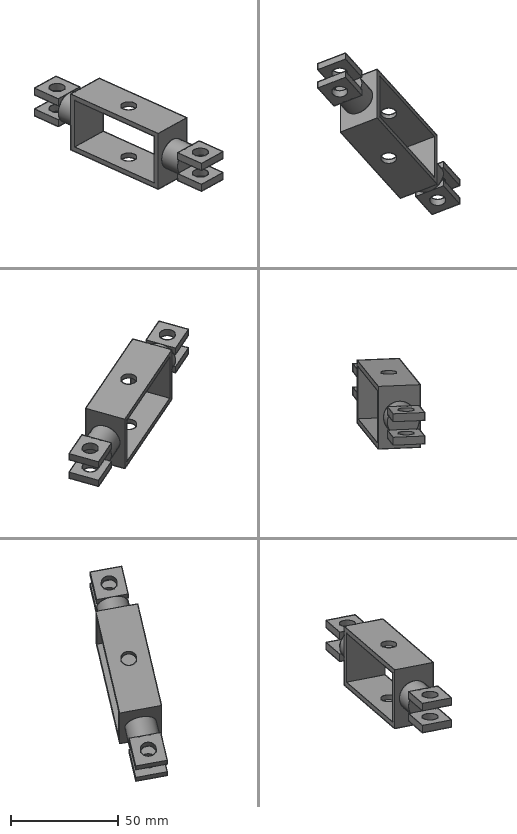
import cadquery as cq

total_length = 105.0

frame_length = 55.0
frame_depth = 20.0
frame_height = 30.0
wall = 2.5

fork_size = 15.0
stem_diameter = fork_size
tine_thickness = 3.8
hole_diameter = 7.5

stem_length = (total_length - frame_length) / 2 - fork_size
fork_center_x = (total_length - fork_size) / 2
tine_center_z = (fork_size - tine_thickness) / 2


def make_frame():
    outer = cq.Workplane("XY").box(frame_length, frame_depth, frame_height)
    window = cq.Workplane("XY").box(
        frame_length - 2 * wall, frame_depth, frame_height - 2 * wall
    )
    return outer.cut(window)


def make_end(side):
    """Stem and two fork tines; side is +1 for the +X end, -1 for the -X end."""
    end = (
        cq.Workplane("YZ", origin=(side * frame_length / 2, 0, 0))
        .circle(stem_diameter / 2)
        .extrude(side * stem_length)
    )
    for level in (-1, 1):
        tine = cq.Workplane("XY").box(fork_size, fork_size, tine_thickness)
        end = end.union(tine.translate((side * fork_center_x, 0, level * tine_center_z)))
    return end


holes = (
    cq.Workplane("XY", origin=(0, 0, -frame_height / 2))
    .pushPoints([(-fork_center_x, 0), (0, 0), (fork_center_x, 0)])
    .circle(hole_diameter / 2)
    .extrude(frame_height)
)

result = make_frame().union(make_end(-1)).union(make_end(1)).cut(holes)